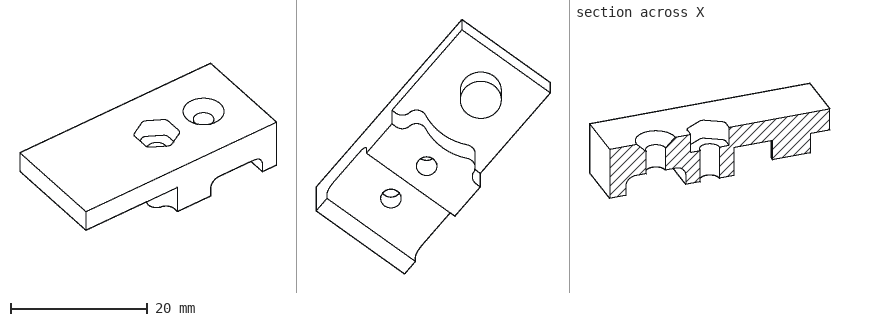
import cadquery as cq
import math

width = 16.5
length = 34.5
plate_thickness = 3.6

total_height = 8.25
block_height = total_height - plate_thickness
shoulder_y = -0.7

boss_diameter = 6.0
boss_height = 3.2
boss_y = -11.25

hollow_radius = 9.0
lobe_radius = 1.5
lobe_x = 4.52

channel_y = 10.0
channel_width = 9.3
channel_depth = 3.0
channel_corner_radius = 1.5

hole_diameter = 3.0
countersink_diameter = 6.0
countersink_angle = 90.0
countersunk_hole_y = channel_y
nut_hole_y = 1.55
nut_across_flats = 6.0
nut_depth = 3.0
nut_corner_radius = 0.75


def point_between(start, end, distance):
    """Point at the given distance from start on the line towards end."""
    span = math.dist(start, end)
    return tuple(a + (b - a) * distance / span for a, b in zip(start, end))


def point_at(center, radius, angle):
    return (center[0] + radius * math.cos(angle), center[1] + radius * math.sin(angle))


def mirrored(point):
    return (-point[0], point[1])


def make_plate():
    return cq.Workplane("XY").box(width, length, plate_thickness, centered=(True, True, False)).translate(
        (0, 0, -plate_thickness)
    )


def make_block():
    boss_center = (0, boss_y)
    lobe_y = boss_y + math.sqrt((hollow_radius + lobe_radius) ** 2 - lobe_x**2)
    lobe_center = (lobe_x, lobe_y)
    fillet_y = shoulder_y - lobe_radius
    fillet_x = lobe_x + math.sqrt((2 * lobe_radius) ** 2 - (lobe_y - fillet_y) ** 2)
    fillet_center = (fillet_x, fillet_y)

    shoulder_end = (fillet_x, shoulder_y)
    fillet_end = point_between(lobe_center, fillet_center, lobe_radius)
    hollow_end = point_between(boss_center, lobe_center, hollow_radius)
    fillet_middle = point_at(fillet_center, lobe_radius, math.radians(135))
    lobe_middle = point_at(lobe_center, lobe_radius, math.radians(-90))
    hollow_middle = (0, boss_y + hollow_radius)

    return (
        cq.Workplane("XY")
        .workplane(offset=-total_height)
        .moveTo(-width / 2, length / 2)
        .lineTo(width / 2, length / 2)
        .lineTo(width / 2, shoulder_y)
        .lineTo(*shoulder_end)
        .threePointArc(fillet_middle, fillet_end)
        .threePointArc(lobe_middle, hollow_end)
        .threePointArc(hollow_middle, mirrored(hollow_end))
        .threePointArc(mirrored(lobe_middle), mirrored(fillet_end))
        .threePointArc(mirrored(fillet_middle), mirrored(shoulder_end))
        .lineTo(-width / 2, shoulder_y)
        .close()
        .extrude(block_height)
    )


def make_boss():
    return (
        cq.Workplane("XY")
        .workplane(offset=-plate_thickness)
        .center(0, boss_y)
        .circle(boss_diameter / 2)
        .extrude(-boss_height)
    )


def make_channel():
    return (
        cq.Workplane("XY")
        .box(width, channel_width, channel_depth, centered=(True, True, False))
        .edges("|X and >Z")
        .fillet(channel_corner_radius)
        .translate((0, channel_y, -total_height))
    )


def make_nut_pocket():
    across_corners = nut_across_flats / math.cos(math.radians(30))
    return (
        cq.Workplane("XY")
        .center(0, nut_hole_y)
        .polygon(6, across_corners)
        .extrude(-nut_depth)
        .edges("|Z")
        .fillet(nut_corner_radius)
    )


body = make_plate().union(make_block()).union(make_boss()).cut(make_channel())
body = (
    body.faces(">Z")
    .workplane(origin=(0, 0, 0))
    .pushPoints([(0, countersunk_hole_y)])
    .cskHole(hole_diameter, countersink_diameter, countersink_angle)
)
body = (
    body.faces(">Z")
    .workplane(origin=(0, 0, 0))
    .pushPoints([(0, nut_hole_y)])
    .hole(hole_diameter)
)
result = body.cut(make_nut_pocket())